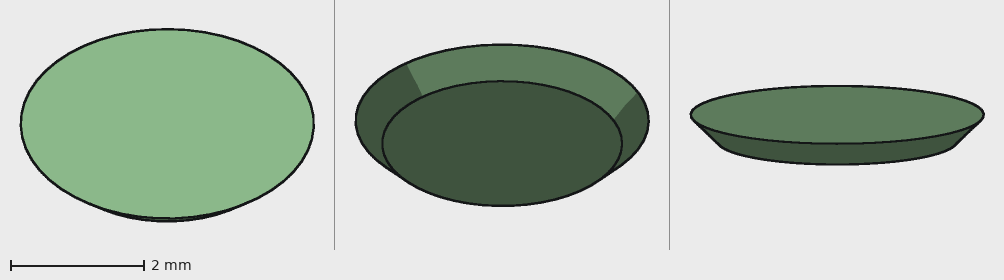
import cadquery as cq

top_diameter = 4.4
thickness = 0.4

top_radius = top_diameter / 2
bottom_radius = top_radius - thickness

half_section = (
    cq.Workplane("YZ")
    .moveTo(0, 0)
    .lineTo(-bottom_radius, 0)
    .lineTo(-top_radius, thickness)
    .lineTo(0, thickness)
    .close()
)

result = half_section.revolve(360, (0, 0), (0, 1))